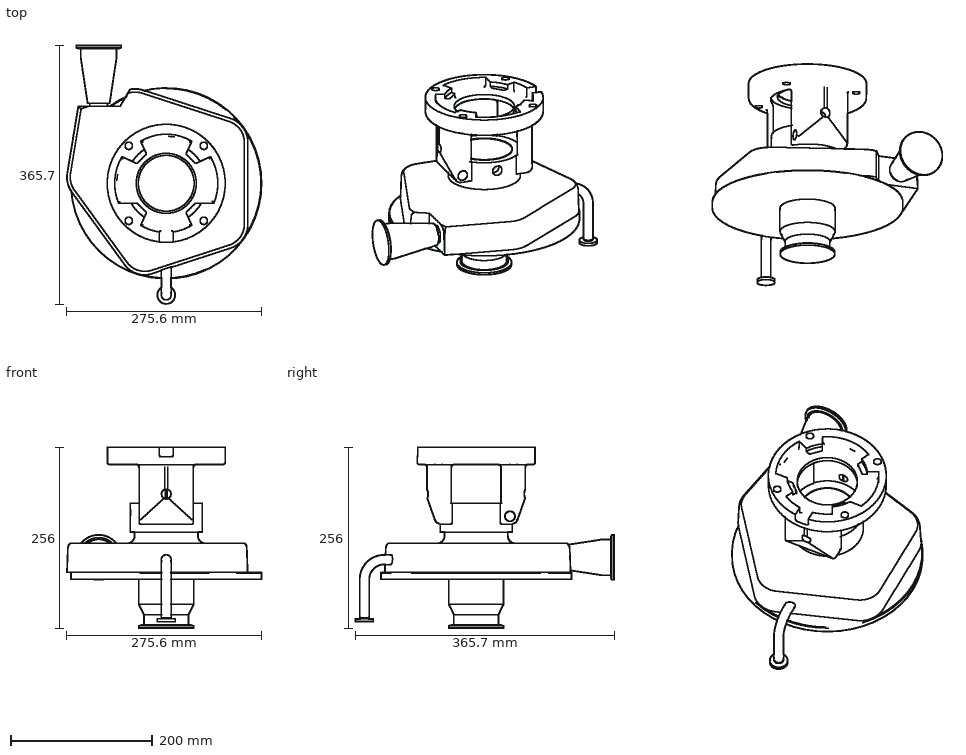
import cadquery as cq
import math


TOP_Z = 177.0
FLANGE_THICKNESS = 24.5
FLANGE_BOTTOM_Z = TOP_Z - FLANGE_THICKNESS
RING_TOP_Z = 98.0
LEG_BOTTOM_Z = 68.2
RING_BOTTOM_Z = 57.0
CASING_HEIGHT = 41.3
PLATE_THICKNESS = 10.0

SELECTION_MARGIN = 0.1

FLANGE_RADIUS = 83.5
FLANGE_EDGE_FILLET = 3.0
FLANGE_BORE_RADIUS = 42.5
POCKET_SIDE_RADIUS = 73.0
POCKET_END_RADIUS = 69.5
POCKET_SIDE_HALF_WIDTH = 50.0
POCKET_DEPTH = 13.5
POCKET_FLOOR_FILLET = 3.0
SLOT_WIDTH = 20.0
SLOT_OVERRUN = 20.0
BOLT_CIRCLE_RADIUS = 75.0
BOLT_HOLE_DIAMETER = 10.5
BOLT_ANGLES = (45, 135, 225, 315)
BOSS_FACE_DISTANCE = 49.0
BOSS_FACE_HALF_WIDTH = 9.6
BOSS_FLARE_ANGLE = 20.0
BOSS_TIP_FILLET = 1.5
LOWER_BOSS_SIDE_Y = -28.5
SPIGOT_RADIUS = 57.0
SPIGOT_DEPTH = 6.5

LEG_HALF_WIDTH = 38.5
LEG_RIDGE_Y = 69.6
LEG_RIDGE_HALF_WIDTH = 2.4
LEG_FACE_ANGLE = 18.0
LEG_INNER_Y = 20.0
LEG_BORE_RADIUS = 52.0
LEG_BORE_TOP_Z = FLANGE_BOTTOM_Z + 4.0
LEG_EDGE_FILLET = 2.5
LEG_BOTTOM_FILLET = 10.0
LEG_TOP_FILLET = 4.0
LEG_BEVEL_TOP_Z = 105.5
LEG_BEVEL_ANGLE = 19.5
LEG_HOLE_DIAMETER = 13.5
LEG_HOLE_Z = 110.8
LEG_HOLE_BREAKTHROUGH = 0.01
CROSS_HOLE_DIAMETER = 14.0
CROSS_HOLE_Y = 47.8
CROSS_HOLE_Z = 79.3

RING_RADIUS = 51.2
RING_RECESS_RADIUS = 39.5
RING_RECESS_DEPTH = 1.0
RING_HOLE_DIAMETER = 14.0
RING_HOLE_Z = 84.4
NECK_RADIUS = 45.0
NECK_FILLET = 10.0

CASING_APOTHEM = 115.3
PENTAGON_HALF_ANGLE = 36
UPPER_CORNER_ANGLE = 3 * PENTAGON_HALF_ANGLE
CASING_CORNER_RADIUS = 35.0
CASING_TOP_FILLET = 8.6
CASING_FILLET_CREST_Z = 43.0
CASING_DRAFT = 2.0
LEFT_CORNER = (-142.5, -0.2)
OUTLET_CORNER = (-124.5, 109.0)
OUTLET_FACE_Y = OUTLET_CORNER[1]
NOTCH_INNER_X = -65.0
NOTCH_SIDE_ANGLE = 60.0
NOTCH_CLEARANCE = 40.0

PLATE_RADIUS = 135.0
PLATE_EDGE_FILLET = 1.0
INLET_BODY_RADIUS = 39.0
INLET_BODY_END_Z = -45.0
INLET_CONE_END_Z = -60.0
INLET_TUBE_RADIUS = 31.75
INLET_END_Z = -79.0
INLET_FERRULE_RADIUS = 38.75
FERRULE_RIM = 3.2
FERRULE_SLOPE = 1.8
FERRULE_SHOULDER = 2.5

OUTLET_X = -95.6
OUTLET_Z = 21.2
OUTLET_NECK_RADIUS = 12.7
OUTLET_ROOT_DEPTH = 12.7
OUTLET_CONE_START_Y = 113.0
OUTLET_CONE_START_RADIUS = 15.7
OUTLET_CONE_END_Y = 177.0
OUTLET_TUBE_RADIUS = 25.4
OUTLET_END_Y = 195.0
OUTLET_FERRULE_RADIUS = 32.0

DRAIN_RADIUS = 6.9
DRAIN_START_Y = -90.0
DRAIN_Z = 18.0
DRAIN_BEND_RADIUS = 28.0
DRAIN_Y = -158.0
DRAIN_TUBE_END_Z = -64.0
DRAIN_END_Z = -69.7
DRAIN_FERRULE_RADIUS = 12.7
DRAIN_FERRULE_THICKNESS = 4.0
DRAIN_NECK_RADIUS = 5.5


def cylinder(radius, bottom_z, top_z):
    return cq.Workplane("XY").workplane(offset=bottom_z).circle(radius).extrude(top_z - bottom_z)


def polar(radius, angle):
    return (radius * math.cos(math.radians(angle)), radius * math.sin(math.radians(angle)))


def casing():
    """Drafted casing; its flat top trims the rounded rim a little below the crest of the fillet."""
    vertex_radius = CASING_APOTHEM / math.cos(math.radians(PENTAGON_HALF_ANGLE))
    outline = [
        polar(vertex_radius, PENTAGON_HALF_ANGLE),
        polar(vertex_radius, UPPER_CORNER_ANGLE),
        OUTLET_CORNER,
        LEFT_CORNER,
        polar(vertex_radius, -UPPER_CORNER_ANGLE),
        polar(vertex_radius, -PENTAGON_HALF_ANGLE),
    ]
    body = cq.Workplane("XY").polyline(outline).close().extrude(CASING_FILLET_CREST_Z, taper=CASING_DRAFT)
    for x, y in outline:
        if (x, y) != OUTLET_CORNER:
            corner = cq.selectors.NearestToPointSelector((x, y, CASING_HEIGHT / 2))
            body = body.edges(corner).fillet(CASING_CORNER_RADIUS)
    body = body.faces(">Z").edges().fillet(CASING_TOP_FILLET)
    body = body.intersect(cylinder(2 * vertex_radius, 0, CASING_HEIGHT))
    notch_run = NOTCH_CLEARANCE / math.tan(math.radians(NOTCH_SIDE_ANGLE))
    far_x = OUTLET_CORNER[0] - NOTCH_CLEARANCE
    notch = (
        cq.Workplane("XY")
        .moveTo(far_x, OUTLET_FACE_Y)
        .lineTo(NOTCH_INNER_X, OUTLET_FACE_Y)
        .lineTo(NOTCH_INNER_X + notch_run, OUTLET_FACE_Y + NOTCH_CLEARANCE)
        .lineTo(far_x, OUTLET_FACE_Y + NOTCH_CLEARANCE)
        .close()
        .extrude(CASING_HEIGHT)
    )
    return body.cut(notch)


def cover_plate():
    return cylinder(PLATE_RADIUS, -PLATE_THICKNESS, 0).edges().fillet(PLATE_EDGE_FILLET)


def add_ferrule(profile, tube_radius, rim_radius, end, direction):
    """Continue a (radius, position) profile with a sloped clamp ferrule that closes on the axis."""
    rim_start = end - direction * FERRULE_RIM
    slope_start = rim_start - direction * FERRULE_SLOPE
    return (
        profile.lineTo(tube_radius, slope_start)
        .lineTo(tube_radius + FERRULE_SHOULDER, slope_start)
        .lineTo(rim_radius, rim_start)
        .lineTo(rim_radius, end)
        .lineTo(0, end)
        .close()
    )


def inlet():
    profile = (
        cq.Workplane("XZ")
        .moveTo(0, -PLATE_THICKNESS / 2)
        .lineTo(INLET_BODY_RADIUS, -PLATE_THICKNESS / 2)
        .lineTo(INLET_BODY_RADIUS, INLET_BODY_END_Z)
        .lineTo(INLET_TUBE_RADIUS, INLET_CONE_END_Z)
    )
    profile = add_ferrule(profile, INLET_TUBE_RADIUS, INLET_FERRULE_RADIUS, INLET_END_Z, -1)
    return profile.revolve(360, (0, 0, 0), (0, 1, 0))


def outlet():
    root_y = OUTLET_FACE_Y - OUTLET_ROOT_DEPTH
    profile = (
        cq.Workplane("XY", origin=(OUTLET_X, 0, OUTLET_Z))
        .moveTo(0, root_y)
        .lineTo(OUTLET_NECK_RADIUS, root_y)
        .lineTo(OUTLET_NECK_RADIUS, OUTLET_CONE_START_Y)
        .lineTo(OUTLET_CONE_START_RADIUS, OUTLET_CONE_START_Y)
        .lineTo(OUTLET_TUBE_RADIUS, OUTLET_CONE_END_Y)
    )
    profile = add_ferrule(profile, OUTLET_TUBE_RADIUS, OUTLET_FERRULE_RADIUS, OUTLET_END_Y, 1)
    return profile.revolve(360, (0, 0, 0), (0, 1, 0))


def drain():
    bend_start_y = DRAIN_Y + DRAIN_BEND_RADIUS
    bend_end_z = DRAIN_Z - DRAIN_BEND_RADIUS
    half_chord = DRAIN_BEND_RADIUS * math.sin(math.radians(45))
    path = (
        cq.Workplane("YZ")
        .moveTo(DRAIN_START_Y, DRAIN_Z)
        .lineTo(bend_start_y, DRAIN_Z)
        .threePointArc(
            (bend_start_y - half_chord, bend_end_z + half_chord),
            (DRAIN_Y, bend_end_z),
        )
        .lineTo(DRAIN_Y, DRAIN_TUBE_END_Z)
    )
    tube = cq.Workplane("XZ", origin=(0, DRAIN_START_Y, DRAIN_Z)).circle(DRAIN_RADIUS).sweep(path)
    ferrule_top_z = DRAIN_END_Z + DRAIN_FERRULE_THICKNESS
    neck = cylinder(DRAIN_NECK_RADIUS, DRAIN_END_Z, DRAIN_TUBE_END_Z).translate((0, DRAIN_Y, 0))
    ferrule = cylinder(DRAIN_FERRULE_RADIUS, DRAIN_END_Z, ferrule_top_z).translate((0, DRAIN_Y, 0))
    return tube.union(neck).union(ferrule)


def neck_and_ring():
    foot_radius = NECK_RADIUS + NECK_FILLET
    fillet_top_z = CASING_HEIGHT + NECK_FILLET
    offset = NECK_FILLET * (1 - math.cos(math.radians(45)))
    return (
        cq.Workplane("XZ")
        .moveTo(0, CASING_HEIGHT / 2)
        .lineTo(foot_radius, CASING_HEIGHT / 2)
        .lineTo(foot_radius, CASING_HEIGHT)
        .threePointArc((NECK_RADIUS + offset, CASING_HEIGHT + offset), (NECK_RADIUS, fillet_top_z))
        .lineTo(NECK_RADIUS, RING_BOTTOM_Z)
        .lineTo(RING_RADIUS, RING_BOTTOM_Z)
        .lineTo(RING_RADIUS, RING_TOP_Z)
        .lineTo(0, RING_TOP_Z)
        .close()
        .revolve(360, (0, 0, 0), (0, 1, 0))
    )


def leg():
    """The leg on the +Y side, still without its bore and holes."""
    side_drop = (LEG_HALF_WIDTH - LEG_RIDGE_HALF_WIDTH) * math.tan(math.radians(LEG_FACE_ANGLE))
    side_y = LEG_RIDGE_Y - side_drop
    body = (
        cq.Workplane("XY")
        .workplane(offset=LEG_BOTTOM_Z)
        .moveTo(-LEG_HALF_WIDTH, LEG_INNER_Y)
        .lineTo(-LEG_HALF_WIDTH, side_y)
        .lineTo(-LEG_RIDGE_HALF_WIDTH, LEG_RIDGE_Y)
        .lineTo(LEG_RIDGE_HALF_WIDTH, LEG_RIDGE_Y)
        .lineTo(LEG_HALF_WIDTH, side_y)
        .lineTo(LEG_HALF_WIDTH, LEG_INNER_Y)
        .close()
        .extrude(FLANGE_BOTTOM_Z - LEG_BOTTOM_Z)
    )
    bevel_height = LEG_BEVEL_TOP_Z - LEG_BOTTOM_Z
    bevel_depth = bevel_height * math.tan(math.radians(LEG_BEVEL_ANGLE))
    bevel = (
        cq.Workplane("YZ")
        .moveTo(LEG_RIDGE_Y, LEG_BEVEL_TOP_Z)
        .lineTo(LEG_RIDGE_Y - bevel_depth, LEG_BOTTOM_Z)
        .lineTo(LEG_RIDGE_Y, LEG_BOTTOM_Z)
        .close()
        .extrude(LEG_HALF_WIDTH, both=True)
    )
    body = body.cut(bevel)
    body = body.faces("<Z").edges(">Y").fillet(LEG_BOTTOM_FILLET)
    body = body.faces("<X or >X").edges("not(<Y or >Z)").fillet(LEG_EDGE_FILLET)
    return body


def boss_outline(is_lower):
    """Outline of the +X +Y boss, or of the +X -Y boss, which has one side parallel to X."""
    reach = FLANGE_RADIUS
    flare = (reach - BOSS_FACE_DISTANCE) * math.tan(math.radians(BOSS_FLARE_ANGLE))
    outer_half_width = BOSS_FACE_HALF_WIDTH + flare
    diagonal = math.sqrt(2)

    def place(radial, lateral):
        y_sign = -1 if is_lower else 1
        return ((radial - lateral) / diagonal, y_sign * (radial + lateral) / diagonal)

    inner_side = [place(reach, outer_half_width), place(BOSS_FACE_DISTANCE, BOSS_FACE_HALF_WIDTH)]
    if is_lower:
        face_x = BOSS_FACE_DISTANCE * diagonal + LOWER_BOSS_SIDE_Y
        return inner_side + [(face_x, LOWER_BOSS_SIDE_Y), (reach, LOWER_BOSS_SIDE_Y)]
    outer_side = [place(BOSS_FACE_DISTANCE, -BOSS_FACE_HALF_WIDTH), place(reach, -outer_half_width)]
    return inner_side + outer_side


def flange_pocket():
    floor_z = TOP_Z - POCKET_DEPTH
    sides = (
        cq.Workplane("XY")
        .workplane(offset=floor_z)
        .rect(2 * POCKET_SIDE_RADIUS, 2 * POCKET_SIDE_HALF_WIDTH)
        .extrude(POCKET_DEPTH)
        .intersect(cylinder(POCKET_SIDE_RADIUS, floor_z, TOP_Z))
    )
    pocket = cylinder(POCKET_END_RADIUS, floor_z, TOP_Z).union(sides)
    for is_lower in (False, True):
        outline = boss_outline(is_lower)
        boss = (
            cq.Workplane("XY")
            .workplane(offset=floor_z)
            .polyline(outline)
            .close()
            .extrude(POCKET_DEPTH)
        )
        for x, y in outline[1:3]:
            tip = cq.selectors.NearestToPointSelector((x, y, floor_z + POCKET_DEPTH / 2))
            boss = boss.edges(tip).fillet(BOSS_TIP_FILLET)
        pocket = pocket.cut(boss).cut(boss.mirror("YZ"))
    slot_length = FLANGE_RADIUS + SLOT_OVERRUN
    slot = (
        cq.Workplane("XY")
        .workplane(offset=floor_z)
        .center(0, -slot_length / 2)
        .rect(SLOT_WIDTH, slot_length)
        .extrude(POCKET_DEPTH)
    )
    pocket = pocket.union(slot)
    return pocket.faces("<Z").edges("not <Y").fillet(POCKET_FLOOR_FILLET)


def flange():
    return cylinder(FLANGE_RADIUS, FLANGE_BOTTOM_Z, TOP_Z).faces("<Z").edges().fillet(FLANGE_EDGE_FILLET)


def cut_flange(body):
    body = body.cut(flange_pocket())
    body = body.cut(cylinder(SPIGOT_RADIUS, TOP_Z - SPIGOT_DEPTH, TOP_Z))
    body = body.cut(cylinder(FLANGE_BORE_RADIUS, FLANGE_BOTTOM_Z, TOP_Z))
    for angle in BOLT_ANGLES:
        x, y = polar(BOLT_CIRCLE_RADIUS, angle)
        hole = cylinder(BOLT_HOLE_DIAMETER / 2, FLANGE_BOTTOM_Z, TOP_Z)
        body = body.cut(hole.translate((x, y, 0)))
    return body


def lantern_head():
    """Flange and both legs, with the fillets that join them and the bore between the legs."""
    legs = leg().union(leg().mirror("XZ"))
    head = flange().union(legs)
    joint = cq.selectors.BoxSelector(
        (-FLANGE_RADIUS, -FLANGE_RADIUS, FLANGE_BOTTOM_Z - SELECTION_MARGIN),
        (FLANGE_RADIUS, FLANGE_RADIUS, FLANGE_BOTTOM_Z + SELECTION_MARGIN),
        boundingbox=True,
    )
    head = head.edges(joint).edges("not(%CIRCLE)").fillet(LEG_TOP_FILLET)
    head = head.cut(cylinder(LEG_BORE_RADIUS, RING_TOP_Z, LEG_BORE_TOP_Z))
    return cut_flange(head)


def drill_legs(body):
    hole_end_y = LEG_BORE_RADIUS - LEG_HOLE_BREAKTHROUGH
    radial_hole = (
        cq.Workplane("XZ", origin=(0, FLANGE_RADIUS, LEG_HOLE_Z))
        .circle(LEG_HOLE_DIAMETER / 2)
        .extrude(FLANGE_RADIUS - hole_end_y)
    )
    cross_hole = (
        cq.Workplane("YZ", origin=(0, CROSS_HOLE_Y, CROSS_HOLE_Z))
        .circle(CROSS_HOLE_DIAMETER / 2)
        .extrude(LEG_HALF_WIDTH, both=True)
    )
    return body.cut(radial_hole).cut(radial_hole.mirror("XZ")).cut(cross_hole)


def cut_ring(body):
    recess = cylinder(RING_RECESS_RADIUS, RING_TOP_Z - RING_RECESS_DEPTH, RING_TOP_Z)
    core = cylinder(RING_RECESS_RADIUS, RING_BOTTOM_Z, RING_TOP_Z)
    side_hole = (
        cq.Workplane("YZ", origin=(0, 0, RING_HOLE_Z))
        .circle(RING_HOLE_DIAMETER / 2)
        .extrude(-RING_RADIUS)
        .cut(core)
    )
    return body.cut(recess).cut(side_hole)


lantern = lantern_head().union(neck_and_ring())
lantern = cut_ring(drill_legs(lantern))
result = casing().union(cover_plate()).union(inlet()).union(outlet()).union(drain()).union(lantern)